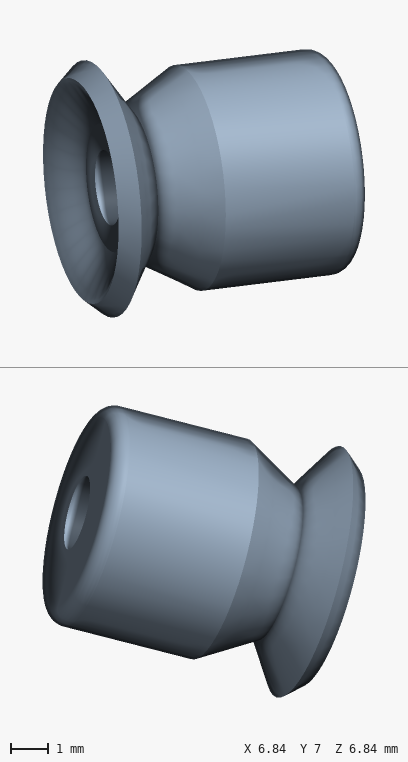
import cadquery as cq

length = 7.0
body_radius = 6.0 / 2
body_start = 2.995
back_fillet = 0.4
lip_radius = 6.84 / 2
lip_edge = 0.5
neck_radius = 2.1
neck_position = 1.43
cup_floor_radius = 1.715
cup_depth = 0.75
bore_radius = 2.0 / 2


def make_bush():
    """Revolve a half section, given as (radius, distance along Y), about the Y axis."""
    profile = (
        cq.Workplane("XY")
        .moveTo(bore_radius, cup_depth)
        .lineTo(cup_floor_radius, cup_depth)
        .lineTo(body_radius, 0)
        .lineTo(lip_radius, lip_edge)
        .lineTo(neck_radius, neck_position)
        .lineTo(body_radius, body_start)
        .lineTo(body_radius, length - back_fillet)
        .radiusArc((body_radius - back_fillet, length), -back_fillet)
        .lineTo(bore_radius, length)
        .close()
    )
    return profile.revolve(360, (0, 0, 0), (0, 1, 0))


result = make_bush()